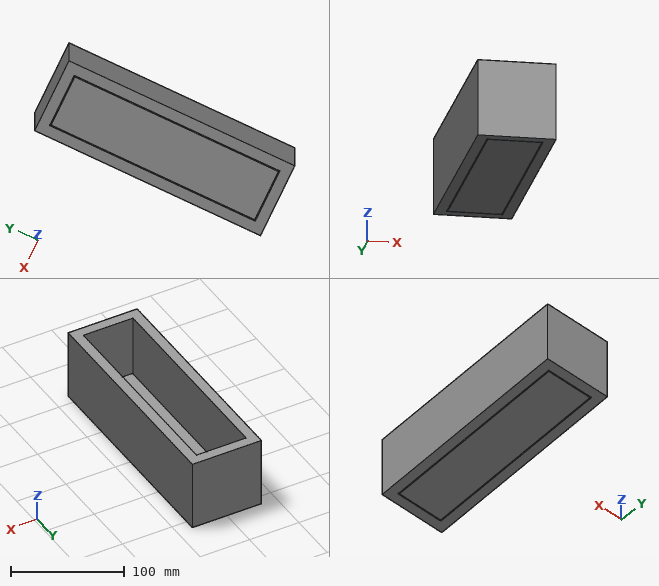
import cadquery as cq

frame_length = 220.0
frame_width = 70.0
frame_height = 70.0
wall = 10.0
plate_clearance = 1.0

opening_width = frame_width - 2 * wall
opening_length = frame_length - 2 * wall
plate_width = opening_width - 2 * plate_clearance
plate_length = opening_length - 2 * plate_clearance
plate_thickness = wall


def block(width, length, height):
    """Rectangular block centred on the Z axis, with its base at Z = 0."""
    return cq.Workplane("XY").rect(width, length).extrude(height)


def make_frame():
    """Four walls around a rectangular opening that passes right through."""
    outer = block(frame_width, frame_length, frame_height)
    opening = block(opening_width, opening_length, frame_height)
    return outer.cut(opening)


def make_base_plate():
    """Loose plate closing the bottom of the frame, with a small gap to each wall."""
    return block(plate_width, plate_length, plate_thickness)


frame = make_frame()
base_plate = make_base_plate()

result = cq.Compound.makeCompound([frame.val(), base_plate.val()])